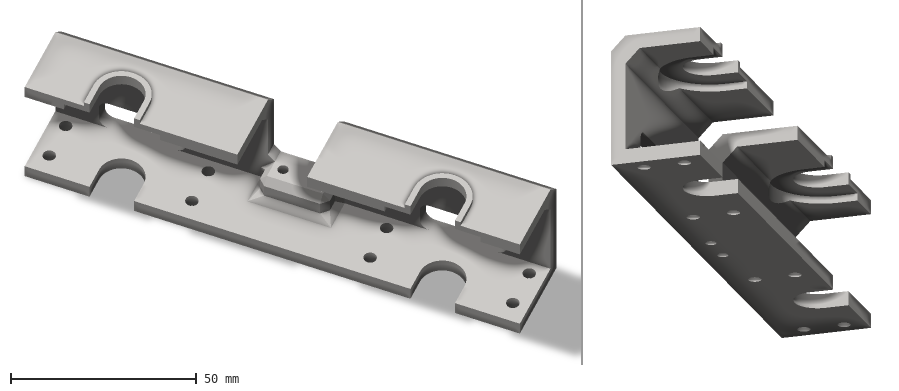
import cadquery as cq
import math

length = 144.8
depth = 25.3
height = 38.1
lip_height = 1.5
sheet = 4.0
plate_top = height - lip_height
plate_underside = plate_top - sheet
wall_front = depth - sheet

center_x = length / 2
station_pitch = 93.8
station_xs = [center_x - station_pitch / 2, center_x + station_pitch / 2]
gap_width = 20.4
bevel = 2.0

slot_width = 13.0
slot_center_y = 6.7
lip_width = 16.4
recess_width = 28.1
recess_depth = 2.0
recess_top = plate_underside + recess_depth
recess_center_y = 5.8

window_width = 25.3
window_top = 14.0
window_corner_diameter = 5.6

block_width = gap_width
block_depth = 11.6
block_top = 12.0
block_front = depth - block_depth
block_hole_diameter = 3.0
block_hole_spacing = 10.1
block_hole_y = depth - block_depth / 2

screw_diameter = 3.6
screw_spacing_x = 41.7
screw_ys = [6.1, 17.5]


def box(x_min, x_max, y_min, y_max, z_min, z_max):
    size = (x_max - x_min, y_max - y_min, z_max - z_min)
    return cq.Workplane("XY").box(*size, centered=False).translate((x_min, y_min, z_min))


def vertical_hole(x, y, diameter, z_top):
    return cq.Workplane("XY").center(x, y).circle(diameter / 2).extrude(z_top)


def u_slot(x, width, center_y, z_min, z_max):
    """Round-ended slot shape, open at the front edge."""
    radius = width / 2
    return (
        cq.Workplane("XY", origin=(x, 0, z_min))
        .moveTo(-radius, 0)
        .lineTo(-radius, center_y)
        .threePointArc((0, center_y + radius), (radius, center_y))
        .lineTo(radius, 0)
        .close()
        .extrude(z_max - z_min)
    )


def channel():
    """C-shaped section with its upper back corner beveled inside and out."""
    return (
        cq.Workplane("YZ")
        .moveTo(0, 0)
        .lineTo(depth, 0)
        .lineTo(depth, plate_underside)
        .lineTo(wall_front, plate_top)
        .lineTo(0, plate_top)
        .lineTo(0, plate_underside)
        .lineTo(wall_front - sheet, plate_underside)
        .lineTo(wall_front, plate_underside - sheet)
        .lineTo(wall_front, sheet)
        .lineTo(0, sheet)
        .close()
        .extrude(length)
    )


def gap():
    """Opening between the stations, down to the block top, with beveled lower corners."""
    half = gap_width / 2
    return (
        cq.Workplane("XZ", origin=(center_x, 0, 0))
        .moveTo(-half + bevel, block_top)
        .lineTo(half - bevel, block_top)
        .lineTo(half, block_top + bevel)
        .lineTo(half, height)
        .lineTo(-half, height)
        .lineTo(-half, block_top + bevel)
        .close()
        .extrude(-depth)
    )


def corner_wedge(side, inset, reach, z_tip, rise):
    """Wedge for trimming a front corner of the block.

    Its slope starts at a tip lying `inset` inside the corner in X and Y and runs
    `reach` along the corner's diagonal while climbing by `rise`. A negative inset puts
    the tip outside the corner, a negative reach runs outward and a negative rise down.
    """
    tip = (center_x + side * (block_width / 2 - inset), block_front + inset, z_tip)
    diagonal = cq.Plane(origin=tip, xDir=(-side, 1, 0), normal=(1, side, 0))
    return (
        cq.Workplane(diagonal)
        .polyline([(0, 0), (reach, rise), (-block_depth, rise), (-block_depth, 0)])
        .close()
        .extrude(block_depth, both=True)
    )


def block():
    """Beveled block in the corner, flared out where it meets the base and the wall."""
    half = block_width / 2
    foot = half + bevel
    shoulder = block_top - bevel
    diagonal_bevel = bevel / math.sqrt(2)

    right_outline = [
        (half - bevel, block_front),
        (half, block_front + bevel),
        (half, wall_front - bevel),
        (foot, wall_front),
        (foot, depth),
    ]
    left_outline = [(-x, y) for x, y in reversed(right_outline)]
    body = (
        cq.Workplane("XY", origin=(center_x, 0, 0))
        .polyline(right_outline + left_outline)
        .close()
        .extrude(block_top)
    )

    side_bevels = (
        cq.Workplane("XZ", origin=(center_x, 0, 0))
        .polyline([
            (-foot, 0),
            (foot, 0),
            (foot, shoulder - bevel),
            (half - bevel, block_top),
            (bevel - half, block_top),
            (-foot, shoulder - bevel),
        ])
        .close()
        .extrude(-depth)
    )
    front_bevel = (
        cq.Workplane("YZ", origin=(center_x, 0, 0))
        .polyline([
            (block_front, 0),
            (depth, 0),
            (depth, block_top),
            (block_front + bevel, block_top),
            (block_front, shoulder),
        ])
        .close()
        .extrude(foot, both=True)
    )
    body = body.intersect(side_bevels).intersect(front_bevel)

    flare_front = block_front - bevel
    flare = (
        cq.Workplane("XY", origin=(center_x, (flare_front + depth) / 2, sheet))
        .rect(2 * foot, depth - flare_front)
        .extrude(bevel, taper=45)
    )

    for side in (-1, 1):
        body = body.cut(corner_wedge(side, bevel, -diagonal_bevel, block_top, -bevel))
        flare = flare.cut(corner_wedge(side, -bevel, 3 * diagonal_bevel, sheet, bevel))
    return body.union(flare)


def window(x):
    """Round-cornered window standing on the base plate."""
    half = window_width / 2
    opening = box(x - half, x + half, wall_front, depth, sheet, window_top)
    return opening.edges("|Y").fillet(window_corner_diameter / 2)


result = channel().cut(gap()).union(block())

for x in station_xs:
    result = result.union(u_slot(x, lip_width, slot_center_y, plate_underside, height))
    result = result.cut(u_slot(x, slot_width, slot_center_y, 0, height))
    result = result.cut(u_slot(x, recess_width, recess_center_y, sheet, recess_top))
    result = result.cut(window(x))
    for side in (-1, 1):
        screw_x = x + side * screw_spacing_x / 2
        for y in screw_ys:
            result = result.cut(vertical_hole(screw_x, y, screw_diameter, sheet))

for side in (-1, 1):
    hole_x = center_x + side * block_hole_spacing / 2
    result = result.cut(vertical_hole(hole_x, block_hole_y, block_hole_diameter, block_top))